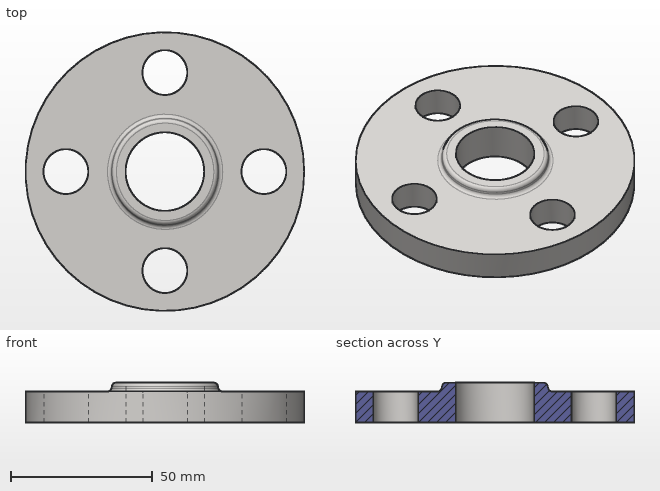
import cadquery as cq

flange_diameter = 98.5
flange_thickness = 11.0

overall_height = 14.2
hub_height = overall_height - flange_thickness
hub_base_diameter = 38.3
hub_taper_angle = 12.0
hub_rim_radius = 1.6
hub_root_radius = 1.5

bore_diameter = 27.7
bolt_hole_diameter = 15.8
bolt_circle_diameter = 69.9
bolt_hole_count = 4


def make_flange():
    """Plain disc lying on the XY plane."""
    return cq.Workplane("XY").circle(flange_diameter / 2).extrude(flange_thickness)


def add_hub(body):
    """Slightly conical hub with a rounded rim and a filleted root."""
    hub = (
        cq.Workplane("XY")
        .workplane(offset=flange_thickness)
        .circle(hub_base_diameter / 2)
        .extrude(hub_height, taper=hub_taper_angle)
    )
    body = body.union(hub)
    body = body.faces(">Z").edges().fillet(hub_rim_radius)
    flange_top = body.faces("|Z").faces(">Z[1]")
    return flange_top.edges(cq.selectors.RadiusNthSelector(0)).fillet(hub_root_radius)


def cut_bore(body):
    """Straight bore through the hub and the flange."""
    return body.faces(">Z").workplane().circle(bore_diameter / 2).cutThruAll()


def cut_bolt_holes(body):
    """Evenly spaced through holes, the first one on the X axis."""
    return (
        body.faces("<Z")
        .workplane()
        .polarArray(bolt_circle_diameter / 2, 0, 360, bolt_hole_count)
        .circle(bolt_hole_diameter / 2)
        .cutThruAll()
    )


flange = make_flange()
flange_with_hub = add_hub(flange)
bored_flange = cut_bore(flange_with_hub)
result = cut_bolt_holes(bored_flange)